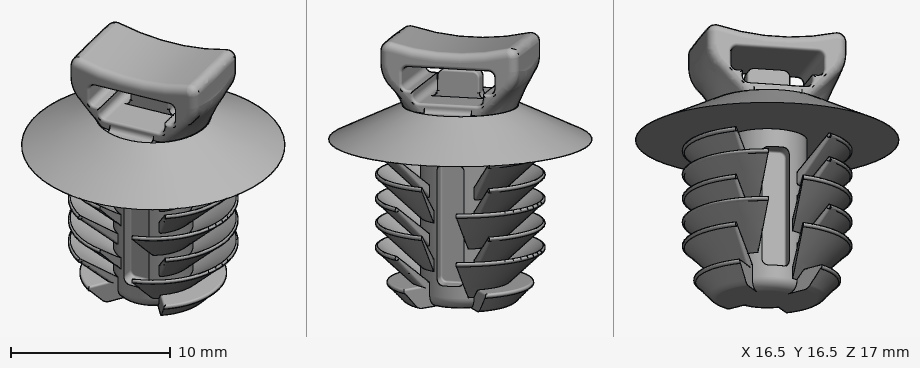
import cadquery as cq
import math


SHANK_RADIUS = 2.5
SHANK_END_FILLET = 0.7

SKIRT_RADIUS = 8.25
SKIRT_TOP_RADIUS = 3.65
SKIRT_BOTTOM_Z = 10.4
SKIRT_TOP_Z = 12.62

FIN_RADIUS = 5.32
FIN_COUNT = 5
FIN_PITCH = 1.555
LOWEST_FIN_Z = 3.62
RIM_HEIGHT = 0.28
RIM_BULGE = 0.12
FIN_TOP_DROP = 2.04
FIN_UNDERSIDE_DROP = 2.84
FIN_ROOT_RADIUS = 1.5
FIN_END_FILLET = 0.14
SHORT_END_ANGLE = 35.0
LONG_END_X = 1.12

TIP_FIN_RADIUS = 4.6
TIP_FIN_TOP_Z = 1.39
TIP_FIN_BASE_RADIUS = 3.2
TIP_FIN_ROUND_RADIUS = 3.68
TIP_FIN_ROUND_Z = 0.28
TIP_FIN_ROUND_MID = (3.49, 0.11)

SLOT_WIDTH = 1.75
SLOT_BOTTOM_Z = 1.5
SLOT_TOP_Z = 9.25
SLOT_CORNER_RADIUS = 0.4
SLOT_FLOOR_FILLET = 0.12
SLOT_WEB = 2.8

HANDLE_HALF_LENGTH = 4.5
HANDLE_HALF_DEPTH = 3.0
HANDLE_BASE_RADIUS = 3.6
HANDLE_SIDE_Z = 14.75
HANDLE_BEND_RADIUS = 2.0
HANDLE_EDGE_FILLET = 0.55
HANDLE_END_BOW = 0.05
SADDLE_Z = 16.44
SADDLE_EDGE_Z = 17.14

OPENING_HALF_LENGTH = 3.0
OPENING_TOP_Z = 15.5
OPENING_LEDGE_Z = 13.98
OPENING_FLOOR_Z = 13.2
OPENING_CORNER_RADIUS = 0.4
LEDGE_HALF_LENGTH = 2.25
FLOOR_CORNER_RADIUS = 0.42
OPENING_MOUTH_FILLET = 0.18

LUG_HALF_LENGTH = 1.37
LUG_TOP_Z = 14.9
LUG_THICKNESS = 1.0
LUG_CORNER_RADIUS = 0.45
LUG_EDGE_FILLET = 0.12
LUG_FOOT_RADIUS = 0.35

FLARE_RADIUS = 0.3
FLARE_HALF_LENGTH = 1.53

REACH = SKIRT_RADIUS
PICK_MARGIN = 0.01


def make_shank():
    """Cylinder with a rounded tip."""
    shank = cq.Workplane("XY").circle(SHANK_RADIUS).extrude(SKIRT_TOP_Z)
    return shank.faces("<Z").edges().fillet(SHANK_END_FILLET)


def make_skirt():
    """Solid cone with a sharp rim and a flat underside."""
    profile = [
        (0, SKIRT_BOTTOM_Z),
        (SKIRT_RADIUS, SKIRT_BOTTOM_Z),
        (SKIRT_TOP_RADIUS, SKIRT_TOP_Z),
        (0, SKIRT_TOP_Z),
    ]
    return cq.Workplane("XZ").polyline(profile).close().revolve(360, (0, 0), (0, 1))


def fin_ring(rim_top_z):
    """Full ring of one large fin, before it is trimmed to its sectors."""
    rim_radius = FIN_RADIUS - RIM_BULGE
    root_underside_z = rim_top_z - FIN_UNDERSIDE_DROP
    root_top_z = rim_top_z - FIN_TOP_DROP
    return (
        cq.Workplane("XZ")
        .moveTo(FIN_ROOT_RADIUS, root_underside_z)
        .lineTo(SHANK_RADIUS, root_underside_z)
        .lineTo(rim_radius, rim_top_z - RIM_HEIGHT)
        .threePointArc((FIN_RADIUS, rim_top_z - RIM_HEIGHT / 2), (rim_radius, rim_top_z))
        .lineTo(SHANK_RADIUS, root_top_z)
        .lineTo(FIN_ROOT_RADIUS, root_top_z)
        .close()
        .revolve(360, (0, 0), (0, 1))
    )


def tip_fin_ring():
    """Full ring of the end fin, flat on top and rounded into the tip."""
    rim_radius = TIP_FIN_RADIUS - RIM_BULGE
    return (
        cq.Workplane("XZ")
        .moveTo(FIN_ROOT_RADIUS, 0)
        .lineTo(TIP_FIN_BASE_RADIUS, 0)
        .threePointArc(TIP_FIN_ROUND_MID, (TIP_FIN_ROUND_RADIUS, TIP_FIN_ROUND_Z))
        .lineTo(rim_radius, TIP_FIN_TOP_Z - RIM_HEIGHT)
        .threePointArc((TIP_FIN_RADIUS, TIP_FIN_TOP_Z - RIM_HEIGHT / 2), (rim_radius, TIP_FIN_TOP_Z))
        .lineTo(FIN_ROOT_RADIUS, TIP_FIN_TOP_Z)
        .close()
        .revolve(360, (0, 0), (0, 1))
    )


def sector_pair(long_end_side):
    """Prism that keeps the left and right halves of a fin.

    long_end_side is -1 or +1 when the left half has its long end towards -Y or +Y,
    and 0 when both its ends are short.
    """
    slope = math.tan(math.radians(SHORT_END_ANGLE))
    if long_end_side == 0:
        inner_points = [(-REACH * slope, -REACH), (0, 0), (-REACH * slope, REACH)]
    else:
        inner_points = [
            (-LONG_END_X, long_end_side * REACH),
            (-LONG_END_X, -long_end_side * LONG_END_X / slope),
            (-REACH * slope, -long_end_side * REACH),
        ]
    first_y = inner_points[0][1]
    outline = inner_points + [(-REACH, -first_y), (-REACH, first_y)]
    left = cq.Workplane("XY").polyline(outline).close().extrude(SKIRT_BOTTOM_Z)
    return left.union(left.rotate((0, 0, 0), (0, 0, 1), 180))


def short_ends(fin):
    """End faces of a trimmed fin that lie at the short end angle, one workplane each."""
    faces = fin.faces("%PLANE").faces("not (|X or |Z)").vals()
    return [fin.newObject([face]) for face in faces]


def add_fins(body):
    """Add the large fins, whose long ends alternate sides, and the end fin."""
    for index in range(FIN_COUNT):
        if index == FIN_COUNT - 1:
            long_end_side = 0
        else:
            long_end_side = 1 if index % 2 == 0 else -1
        ring = fin_ring(LOWEST_FIN_Z + index * FIN_PITCH)
        fin = ring.intersect(sector_pair(long_end_side))
        undersides = fin.newObject([])
        for end in short_ends(fin):
            undersides = undersides.add(end.edges("%LINE").edges("not (#Z or |Z)").edges("<Z"))
        body = body.union(undersides.fillet(FIN_END_FILLET))

    tip_fin = tip_fin_ring().intersect(sector_pair(0))
    top_edges = tip_fin.newObject([])
    for end in short_ends(tip_fin):
        top_edges = top_edges.add(end.edges("%LINE").edges(">Z"))
    return body.union(top_edges.fillet(FIN_END_FILLET))


def make_slot():
    """Rounded pocket in the -Y side of the shank."""
    slot = (
        cq.Workplane("XZ", origin=(0, -SLOT_WEB / 2, (SLOT_BOTTOM_Z + SLOT_TOP_Z) / 2))
        .rect(SLOT_WIDTH, SLOT_TOP_Z - SLOT_BOTTOM_Z)
        .extrude(SHANK_RADIUS)
        .edges("|Y")
        .fillet(SLOT_CORNER_RADIUS)
    )
    return slot.faces(">Y").edges().fillet(SLOT_FLOOR_FILLET)


def cut_slots(body):
    """Cut the two opposite slots."""
    slot = make_slot()
    return body.cut(slot).cut(slot.rotate((0, 0, 0), (0, 0, 1), 180))


def handle_section(height, corner_x, end_x):
    """Cross-section with flat faces at the front and back and bowed ends."""
    return (
        cq.Workplane("XY", origin=(0, 0, height))
        .moveTo(-corner_x, -HANDLE_HALF_DEPTH)
        .lineTo(corner_x, -HANDLE_HALF_DEPTH)
        .threePointArc((end_x, 0), (corner_x, HANDLE_HALF_DEPTH))
        .lineTo(-corner_x, HANDLE_HALF_DEPTH)
        .threePointArc((-end_x, 0), (-corner_x, -HANDLE_HALF_DEPTH))
        .close()
    )


def height_band(low_z, high_z):
    """Selector for the edges centred between two heights."""
    return cq.selectors.BoxSelector(
        (-REACH, -REACH, low_z - PICK_MARGIN), (REACH, REACH, high_z + PICK_MARGIN)
    )


def make_handle_block():
    """Handle body: a flattened round base that spreads into a block with a saddle top."""
    base_corner_x = math.sqrt(HANDLE_BASE_RADIUS**2 - HANDLE_HALF_DEPTH**2)
    side_corner_x = HANDLE_HALF_LENGTH - HANDLE_END_BOW
    base = handle_section(SKIRT_TOP_Z, base_corner_x, HANDLE_BASE_RADIUS).wires().val()
    side = handle_section(HANDLE_SIDE_Z, side_corner_x, HANDLE_HALF_LENGTH).wires().val()
    spread = cq.Workplane(cq.Solid.makeLoft([base, side], True))

    upper = handle_section(HANDLE_SIDE_Z, side_corner_x, HANDLE_HALF_LENGTH).extrude(
        SADDLE_EDGE_Z - HANDLE_SIDE_Z
    )
    saddle = (
        cq.Workplane("XZ", origin=(0, REACH, 0))
        .moveTo(-HANDLE_HALF_LENGTH, SADDLE_EDGE_Z)
        .threePointArc((0, SADDLE_Z), (HANDLE_HALF_LENGTH, SADDLE_EDGE_Z))
        .close()
        .extrude(2 * REACH)
    )
    block = spread.union(upper.cut(saddle))

    bends = block.edges(height_band(HANDLE_SIDE_Z, HANDLE_SIDE_Z)).edges("%CIRCLE")
    block = bends.fillet(HANDLE_BEND_RADIUS)

    lowest_corner_z = SKIRT_TOP_Z + 2 * PICK_MARGIN
    face_edges = block.faces("<Y or >Y").edges(height_band(lowest_corner_z, SADDLE_EDGE_Z))
    end_edges = block.edges(height_band(SADDLE_EDGE_Z, SADDLE_EDGE_Z))
    return face_edges.add(end_edges).fillet(HANDLE_EDGE_FILLET)


def make_opening():
    """Opening along Y: wide at the top, with a ledge at each end and a lower floor."""
    opening = (
        cq.Workplane("XZ", origin=(0, HANDLE_HALF_DEPTH, 0))
        .moveTo(0, OPENING_TOP_Z)
        .lineTo(OPENING_HALF_LENGTH, OPENING_TOP_Z)
        .lineTo(OPENING_HALF_LENGTH, OPENING_LEDGE_Z)
        .lineTo(LEDGE_HALF_LENGTH, OPENING_LEDGE_Z)
        .lineTo(LEDGE_HALF_LENGTH, OPENING_FLOOR_Z)
        .lineTo(0, OPENING_FLOOR_Z)
        .mirrorY()
        .extrude(2 * HANDLE_HALF_DEPTH)
    )
    opening = opening.edges("|Y").edges("<X or >X").fillet(OPENING_CORNER_RADIUS)
    return opening.edges("|Y").edges("<Z").fillet(FLOOR_CORNER_RADIUS)


def cut_opening(block):
    """Cut the opening and round its mouth on both faces."""
    opened = block.cut(make_opening())
    mouth = opened.newObject([])
    for side in (-HANDLE_HALF_DEPTH, HANDLE_HALF_DEPTH):
        mouth_box = cq.selectors.BoxSelector(
            (-OPENING_HALF_LENGTH - PICK_MARGIN, side - PICK_MARGIN, OPENING_FLOOR_Z - PICK_MARGIN),
            (OPENING_HALF_LENGTH + PICK_MARGIN, side + PICK_MARGIN, OPENING_TOP_Z + PICK_MARGIN),
        )
        mouth = mouth.add(opened.edges(mouth_box))
    return mouth.fillet(OPENING_MOUTH_FILLET)


def make_lug():
    """Upright plate that stands on the opening floor, with flared feet."""
    lug = (
        cq.Workplane("XY", origin=(0, 0, OPENING_FLOOR_Z))
        .rect(2 * LUG_HALF_LENGTH, LUG_THICKNESS)
        .extrude(LUG_TOP_Z - OPENING_FLOOR_Z)
        .edges("|Y and >Z")
        .fillet(LUG_CORNER_RADIUS)
    )
    return lug.faces("<Y or >Y").edges("not <Z").fillet(LUG_EDGE_FILLET)


def add_lug(body):
    """Join the lug to the opening floor with concave feet at its two ends."""
    foot = (
        cq.Workplane("XZ", origin=(0, LUG_THICKNESS / 2, 0))
        .moveTo(-LUG_HALF_LENGTH - LUG_FOOT_RADIUS, OPENING_FLOOR_Z)
        .radiusArc((-LUG_HALF_LENGTH, OPENING_FLOOR_Z + LUG_FOOT_RADIUS), -LUG_FOOT_RADIUS)
        .lineTo(LUG_HALF_LENGTH, OPENING_FLOOR_Z + LUG_FOOT_RADIUS)
        .radiusArc((LUG_HALF_LENGTH + LUG_FOOT_RADIUS, OPENING_FLOOR_Z), -LUG_FOOT_RADIUS)
        .close()
        .extrude(LUG_THICKNESS)
    )
    return body.union(make_lug()).union(foot)


def make_flare():
    """Concave strip between the front face of the handle and the skirt top."""
    mid = FLARE_RADIUS * (1 - math.sqrt(0.5))
    return (
        cq.Workplane("YZ", origin=(-FLARE_HALF_LENGTH, 0, 0))
        .moveTo(-HANDLE_HALF_DEPTH, SKIRT_TOP_Z)
        .lineTo(-HANDLE_HALF_DEPTH - FLARE_RADIUS, SKIRT_TOP_Z)
        .threePointArc(
            (-HANDLE_HALF_DEPTH - mid, SKIRT_TOP_Z + mid),
            (-HANDLE_HALF_DEPTH, SKIRT_TOP_Z + FLARE_RADIUS),
        )
        .close()
        .extrude(2 * FLARE_HALF_LENGTH)
    )


def add_flares(body):
    """Add the flares at the front and back of the handle."""
    flare = make_flare()
    return body.union(flare).union(flare.rotate((0, 0, 0), (0, 0, 1), 180))


handle = cut_opening(make_handle_block())
body = cut_slots(add_fins(make_shank().union(make_skirt())))
result = add_flares(add_lug(body.union(handle))).solids()